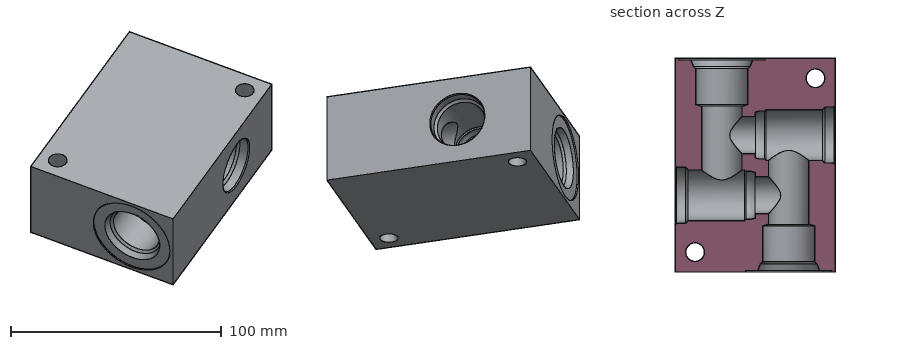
import cadquery as cq
import math

LENGTH_X = 76.2
LENGTH_Y = 101.6
HEIGHT = 44.45
MID_Z = HEIGHT / 2

MOUNT_HOLE_DIAMETER = 8.73
MOUNT_HOLE_INSET = 9.525

PORT_X = 53.975
SPOTFACE_DIAMETER = 41.0
SPOTFACE_DEPTH = 0.75
PORT_MOUTH_DIAMETER = 29.4
PORT_SEAT_DIAMETER = 26.9
PORT_SEAT_LENGTH = 3.1
PORT_THREAD_DIAMETER = 24.6
PORT_THREAD_DEPTH = 22.0
PASSAGE_DIAMETER = 19.05
DRILL_POINT_ANGLE = 150.0

CAVITY_Y = 36.5125
CAVITY_MOUTH_DIAMETER = 27.5
CAVITY_LEAD_IN_DIAMETER = 26.8
CAVITY_LEAD_IN_START = 0.7
CAVITY_LEAD_IN_END = 1.9
CAVITY_COUNTERBORE_DIAMETER = 26.5
CAVITY_COUNTERBORE_DEPTH = 5.0
CAVITY_CHAMBER_DIAMETER = 24.0
CAVITY_CHAMBER_DEPTH = 33.0
CAVITY_PILOT_DIAMETER = 22.7
CAVITY_PILOT_DEPTH = 36.0
CAVITY_SHOULDER_DIAMETER = 21.7
CAVITY_SHOULDER_DEPTH = 38.0
CAVITY_NOSE_DIAMETER = 17.5


def turned_bore(stations):
    """Solid of revolution about Y from (depth, diameter) stations, starting at y = 0."""
    first_depth = stations[0][0]
    last_depth = stations[-1][0]
    profile = cq.Workplane("XY").moveTo(0, first_depth)
    for depth, diameter in stations:
        profile = profile.lineTo(diameter / 2, depth)
    profile = profile.lineTo(0, last_depth).close()
    return profile.revolve(360, (0, 0, 0), (0, 1, 0))


def port():
    """Port with spotface, tapered seat, tapping bore and the passage to the far cavity."""
    seat_end = SPOTFACE_DEPTH + PORT_SEAT_LENGTH
    thread_start = seat_end + (PORT_SEAT_DIAMETER - PORT_THREAD_DIAMETER) / 2
    half_angle = math.radians(DRILL_POINT_ANGLE / 2)
    point_length = (PORT_THREAD_DIAMETER - PASSAGE_DIAMETER) / 2 / math.tan(half_angle)
    far_cavity_axis = LENGTH_Y - CAVITY_Y
    bore = turned_bore([
        (0, SPOTFACE_DIAMETER),
        (SPOTFACE_DEPTH, SPOTFACE_DIAMETER),
        (SPOTFACE_DEPTH, PORT_MOUTH_DIAMETER),
        (seat_end, PORT_SEAT_DIAMETER),
        (thread_start, PORT_THREAD_DIAMETER),
        (PORT_THREAD_DEPTH, PORT_THREAD_DIAMETER),
        (PORT_THREAD_DEPTH + point_length, PASSAGE_DIAMETER),
        (far_cavity_axis, PASSAGE_DIAMETER),
    ])
    return bore.translate((PORT_X, 0, MID_Z))


def cavity():
    """Stepped cartridge cavity whose nose bore ends in the port passage."""
    chamber_start = CAVITY_COUNTERBORE_DEPTH + (CAVITY_COUNTERBORE_DIAMETER - CAVITY_CHAMBER_DIAMETER) / 2
    pilot_start = CAVITY_CHAMBER_DEPTH + (CAVITY_CHAMBER_DIAMETER - CAVITY_PILOT_DIAMETER) / 2
    bore = turned_bore([
        (0, CAVITY_MOUTH_DIAMETER),
        (CAVITY_LEAD_IN_START, CAVITY_LEAD_IN_DIAMETER),
        (CAVITY_LEAD_IN_END, CAVITY_COUNTERBORE_DIAMETER),
        (CAVITY_COUNTERBORE_DEPTH, CAVITY_COUNTERBORE_DIAMETER),
        (chamber_start, CAVITY_CHAMBER_DIAMETER),
        (CAVITY_CHAMBER_DEPTH, CAVITY_CHAMBER_DIAMETER),
        (pilot_start, CAVITY_PILOT_DIAMETER),
        (CAVITY_PILOT_DEPTH, CAVITY_PILOT_DIAMETER),
        (CAVITY_SHOULDER_DEPTH, CAVITY_SHOULDER_DIAMETER),
        (CAVITY_SHOULDER_DEPTH, CAVITY_NOSE_DIAMETER),
        (PORT_X, CAVITY_NOSE_DIAMETER),
    ])
    along_x = bore.rotate((0, 0, 0), (0, 0, 1), -90)
    return along_x.translate((0, CAVITY_Y, MID_Z))


def mount_hole():
    """Vertical through hole near the -X -Y corner."""
    return (
        cq.Workplane("XY")
        .center(MOUNT_HOLE_INSET, MOUNT_HOLE_INSET)
        .circle(MOUNT_HOLE_DIAMETER / 2)
        .extrude(HEIGHT)
    )


def half_turn(shape):
    """Rotate a shape 180 degrees about the block's vertical centre line."""
    center = (LENGTH_X / 2, LENGTH_Y / 2)
    return shape.rotate((*center, 0), (*center, HEIGHT), 180)


result = cq.Workplane("XY").box(LENGTH_X, LENGTH_Y, HEIGHT, centered=False)
for feature in (port(), cavity(), mount_hole()):
    result = result.cut(feature).cut(half_turn(feature))